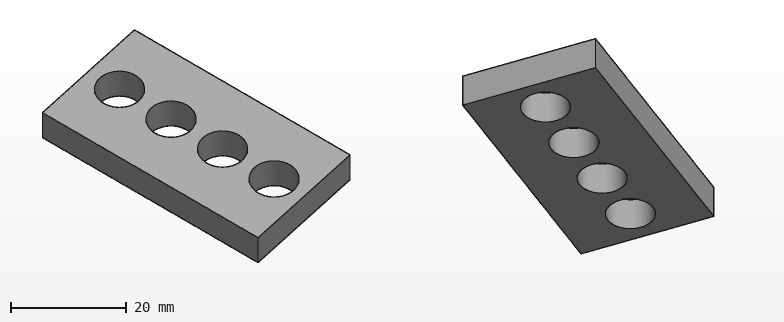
import cadquery as cq

length = 47.75
width = 25.4
thickness = 6.25

hole_count = 4
hole_diameter = 8.65
hole_pitch = 11.4
first_hole_from_left = 6.88

first_hole_x = first_hole_from_left - length / 2
hole_centres = [(first_hole_x + i * hole_pitch, 0) for i in range(hole_count)]

plate = cq.Workplane("XY").box(length, width, thickness)

result = plate.faces(">Z").workplane().pushPoints(hole_centres).hole(hole_diameter)